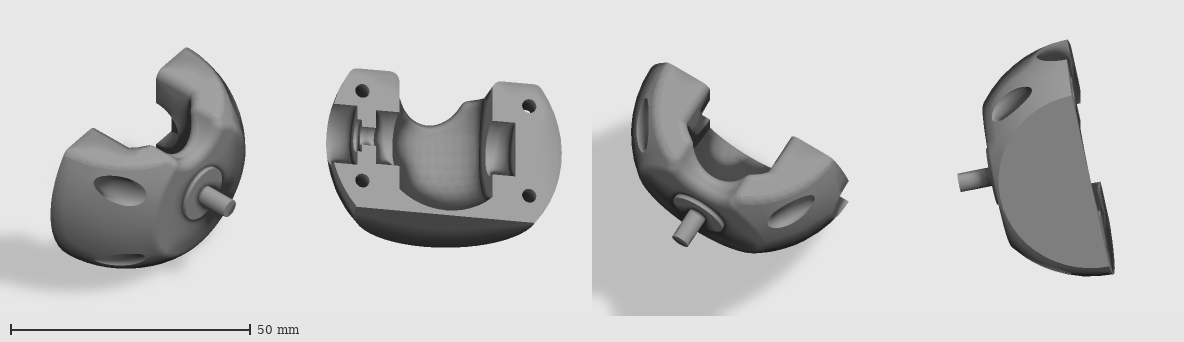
import cadquery as cq
import math

ball_radius = 25.0
top_z = 15.0
bottom_z = -16.0
nose_x = 20.0
edge_round = 2.0

cavity_radius = 15.0
cavity_half_width = 10.0
cavity_straight_top = 3.0
cavity_mouth_radius = 12.85

notch_radius = 7.5
notch_floor_z = 10.0

bearing_radius = 6.0
bearing_end_y = 15.05
spindle_radius = 2.0
seal_radius = 3.55
seal_floor_y = 18.05
end_bore_radius = 6.6
end_bore_floor_y = 19.05

screw_y = 18.0
screw_z = 10.0
screw_radius = 1.5
screw_head_radius = 3.05
screw_head_seat_x = 5.0

collar_radius = 6.0
collar_height = 1.05
shaft_radius = 1.95
shaft_end_x = 28.0


def x_cylinder(radius, start, end, y=0, z=0):
    """Cylinder along X between two X positions."""
    return cq.Workplane("YZ", origin=(start, 0, 0)).center(y, z).circle(radius).extrude(end - start)


def y_cylinder(radius, start, end):
    """Cylinder on the Y axis between two Y positions."""
    return cq.Workplane("XZ", origin=(0, start, 0)).circle(radius).extrude(start - end)


def make_ball():
    """Half ball turned about X with a rounded nose rim, trimmed flat above and below."""
    round_center_x = nose_x - edge_round
    round_center_r = math.sqrt((ball_radius - edge_round) ** 2 - round_center_x ** 2)
    center_angle = math.atan2(round_center_r, round_center_x)
    mid_angle = (center_angle + math.pi / 2) / 2
    round_mid_angle = center_angle / 2
    ball = (
        cq.Workplane("XY")
        .lineTo(0, -ball_radius)
        .threePointArc(
            (ball_radius * math.cos(mid_angle), -ball_radius * math.sin(mid_angle)),
            (ball_radius * math.cos(center_angle), -ball_radius * math.sin(center_angle)),
        )
        .threePointArc(
            (
                round_center_x + edge_round * math.cos(round_mid_angle),
                -round_center_r - edge_round * math.sin(round_mid_angle),
            ),
            (nose_x, -round_center_r),
        )
        .lineTo(nose_x, 0)
        .close()
        .revolve(360, (0, 0), (1, 0))
    )
    slab = (
        cq.Workplane("XY", origin=(0, 0, bottom_z))
        .rect(2 * ball_radius, 2 * ball_radius)
        .extrude(top_z - bottom_z)
    )
    return ball.intersect(slab)


def make_cavity():
    """Hemisphere with a straight band and a narrowing mouth, cut flat at both sides."""
    diagonal = cavity_radius * math.sqrt(0.5)
    turned = (
        cq.Workplane("XZ")
        .moveTo(0, -cavity_radius)
        .threePointArc((diagonal, -diagonal), (cavity_radius, 0))
        .lineTo(cavity_radius, cavity_straight_top)
        .tangentArcPoint((cavity_mouth_radius, top_z), relative=False)
        .lineTo(0, top_z)
        .close()
        .revolve(360, (0, 0), (0, 1))
    )
    walls = cq.Workplane("XY").box(2 * ball_radius, 2 * cavity_half_width, 2 * ball_radius)
    return turned.intersect(walls)


def make_notch():
    return x_cylinder(notch_radius, 0, ball_radius, z=notch_floor_z + notch_radius)


def round_opening(body):
    """Round the top rim, the cavity mouth and both ends of the notch."""
    top_edges = body.faces(">Z").edges("not <X")
    notch_region = cq.selectors.BoxSelector(
        (cavity_radius, -notch_radius, notch_floor_z - edge_round),
        (nose_x, notch_radius, top_z),
    )
    notch_edges = body.faces(notch_region).edges()
    return top_edges.add(notch_edges).fillet(edge_round)


body = make_ball().cut(make_cavity()).cut(make_notch())
body = round_opening(body)

body = body.cut(y_cylinder(bearing_radius, -bearing_end_y, bearing_end_y))
body = body.cut(y_cylinder(spindle_radius, 0, ball_radius))
body = body.cut(y_cylinder(seal_radius, seal_floor_y, ball_radius))
body = body.cut(y_cylinder(end_bore_radius, end_bore_floor_y, ball_radius))

for y in (-screw_y, screw_y):
    for z in (-screw_z, screw_z):
        body = body.cut(x_cylinder(screw_radius, 0, ball_radius, y, z))
        body = body.cut(x_cylinder(screw_head_radius, screw_head_seat_x, ball_radius, y, z))

body = body.union(x_cylinder(collar_radius, nose_x, nose_x + collar_height))
result = body.union(x_cylinder(shaft_radius, nose_x, shaft_end_x))